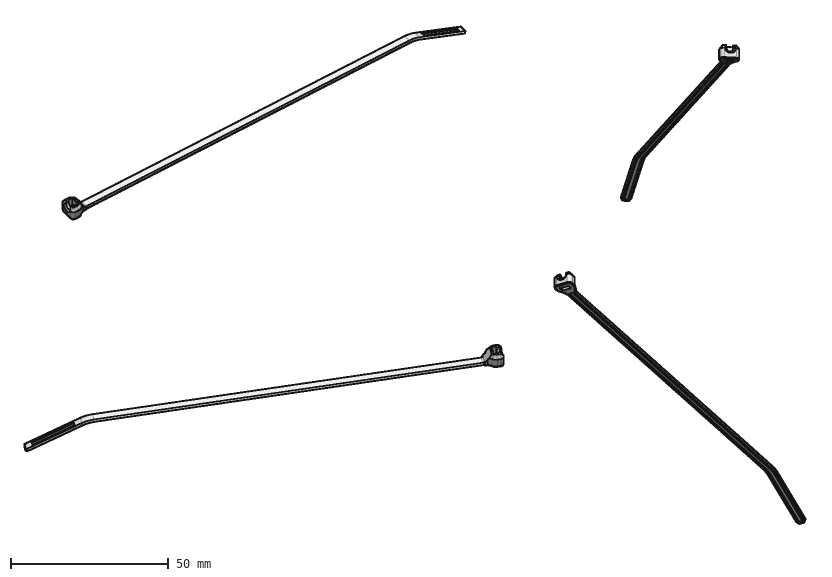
import cadquery as cq
import math

total_length = 155.0
total_height = 13.5
head_width = 6.4
head_height = 4.6

strap_width = 3.5
strap_flat_width = 2.5
strap_thickness = 1.1
parting_height = 0.5

bend_start = 132.8
bend_radius = 8.7
tip_chamfer = 1.0
tip_bevel = 0.5

groove_width = 1.4
groove_depth = 0.5
groove_length = 14.9
groove_tip_distance = 2.8
channel_width = 1.2
channel_depth = 0.2
channel_tip_distance = 0.8

head_corner_radius = 1.2
side_straight_end = 2.5
shoulder_width = 5.0
shoulder_end = 4.0
neck_end = 5.3

ramp_top = 3.9
ramp_end = 6.4
ramp_fillet_radius = 0.8
crown_bevel_width = 1.0
crown_bevel_height = 1.2
foot_bevel = 0.2

slot_width = 3.1
slot_start = 1.7
slot_length = 1.5
notch_width = 2.3
notch_bottom = 2.5
notch_flare = 0.6
flare_angle = 45

strap_start = slot_start + slot_length


def tail_straight_length(angle, bend_end_y):
    """Straight tail length that puts the tip on the total length."""
    tip_overhang = (strap_thickness - tip_bevel) * math.sin(angle)
    return (total_length - bend_end_y - tip_overhang) / math.cos(angle)


def bend_point(angle):
    """Y and Z on the underside of the bend after turning through the angle."""
    return (
        bend_start + bend_radius * math.sin(angle),
        -bend_radius * (1 - math.cos(angle)),
    )


def tail_drop(angle):
    """Depth of the tail tip below the strap underside."""
    end_y, end_z = bend_point(angle)
    return tail_straight_length(angle, end_y) * math.sin(angle) - end_z


def solve_bend_angle():
    """Find by bisection the bend angle that gives the total height."""
    low = 0.0
    high = math.pi / 4
    bisection_steps = 50
    for _ in range(bisection_steps):
        middle = (low + high) / 2
        if tail_drop(middle) < total_height - head_height:
            low = middle
        else:
            high = middle
    return low


bend_angle = solve_bend_angle()
bend_end = bend_point(bend_angle)
tail_length = tail_straight_length(bend_angle, bend_end[0])

tail_plane = cq.Plane(
    origin=(0, *bend_end),
    xDir=(1, 0, 0),
    normal=(0, math.sin(bend_angle), math.cos(bend_angle)),
)


def mirrored_outline(right_half):
    """Complete an outline that is symmetric about X = 0."""
    return right_half + [(-x, other) for x, other in reversed(right_half)]


def sweep_along_strap(outline, straight_length):
    """Sweep a section along the strap, the bend and a length of the tail."""
    tip = (
        bend_end[0] + straight_length * math.cos(bend_angle),
        bend_end[1] - straight_length * math.sin(bend_angle),
    )
    path = (
        cq.Workplane("YZ")
        .moveTo(strap_start, 0)
        .lineTo(bend_start, 0)
        .threePointArc(bend_point(bend_angle / 2), bend_end)
        .lineTo(*tip)
    )
    section = cq.Workplane("XZ", origin=(0, strap_start, 0)).polyline(outline).close()
    return section.sweep(path)


def make_band():
    """Bevelled band with the shallow channel along its underside."""
    band_outline = mirrored_outline([
        (strap_flat_width / 2, 0),
        (strap_width / 2, parting_height),
        (strap_flat_width / 2, strap_thickness),
    ])
    channel_outline = mirrored_outline([
        (channel_width / 2, 0),
        (channel_width / 2, channel_depth),
    ])
    band = sweep_along_strap(band_outline, tail_length)
    return band.cut(sweep_along_strap(channel_outline, tail_length - channel_tip_distance))


def make_grip_groove():
    groove_middle = tail_length - groove_tip_distance - groove_length / 2
    return (
        cq.Workplane(tail_plane)
        .workplane(offset=strap_thickness - groove_depth)
        .center(0, groove_middle)
        .rect(groove_width, groove_length)
        .extrude(strap_thickness)
    )


def make_tip_envelope():
    """Tail with cut-off corners, which trims the end of the band."""
    edge = strap_width / 2
    envelope_outline = mirrored_outline([
        (edge, tail_length - 2 * tip_chamfer),
        (edge, tail_length - tip_chamfer),
        (edge - tip_chamfer, tail_length),
    ])
    return (
        cq.Workplane(tail_plane)
        .polyline(envelope_outline)
        .close()
        .extrude(strap_thickness)
        .faces(cq.selectors.DirectionMinMaxSelector(tail_plane.yDir, True))
        .edges(cq.selectors.DirectionMinMaxSelector(tail_plane.zDir, True))
        .chamfer(tip_bevel)
    )


def make_strap():
    tip_block = (
        cq.Workplane(tail_plane)
        .center(0, tail_length - tip_chamfer)
        .rect(strap_width, 2 * tip_chamfer)
        .extrude(strap_thickness)
    )
    tip_waste = tip_block.cut(make_tip_envelope())
    return make_band().cut(make_grip_groove()).cut(tip_waste)


def make_head_plan(height):
    """Upright body with rounded end corners, round shoulders and a waist."""
    half = head_width / 2
    shoulder_inset = half - shoulder_width / 2
    shoulder_length = shoulder_end - side_straight_end
    radius = (shoulder_inset**2 + shoulder_length**2) / (2 * shoulder_inset)
    half_turn = math.asin(shoulder_length / radius) / 2
    arc_middle = (
        half - radius * (1 - math.cos(half_turn)),
        side_straight_end + radius * math.sin(half_turn),
    )
    half_body = (
        cq.Workplane("XY", origin=(0, 0, parting_height))
        .lineTo(half, 0)
        .lineTo(half, side_straight_end)
        .threePointArc(arc_middle, (shoulder_width / 2, shoulder_end))
        .lineTo(strap_width / 2, neck_end)
        .lineTo(strap_width / 2, ramp_end)
        .lineTo(0, ramp_end)
        .close()
        .extrude(height)
    )
    body = half_body.union(half_body.mirror("YZ")).clean()
    return body.faces("<Y").edges("|Z").fillet(head_corner_radius)


def tapered_layer(face, height, inset):
    """Continue the outline of a face along Z while it shrinks by the inset."""
    taper = math.degrees(math.atan2(inset, abs(height)))
    outline = cq.Workplane("XY").add(face.wires().vals()).toPending()
    return outline.extrude(height, taper=taper)


def make_ramp_envelope():
    """Side outline of the head, sloping down to the strap top."""
    return (
        cq.Workplane("YZ")
        .polyline([
            (0, 0),
            (0, head_height),
            (ramp_top, head_height),
            (ramp_end, strap_thickness),
            (ramp_end, 0),
        ])
        .close()
        .extrude(head_width / 2, both=True)
    )


def make_head():
    """Head with a bevel around its crown and a small one around its foot."""
    bevel_start = head_height - crown_bevel_height
    body = make_head_plan(bevel_start - parting_height)
    crown = tapered_layer(body.faces(">Z"), crown_bevel_height, crown_bevel_width)
    foot = tapered_layer(body.faces("<Z"), -parting_height, foot_bevel)
    return body.union(crown).union(foot).intersect(make_ramp_envelope())


def make_ramp_foot():
    """Concave fillet between the ramp and the strap top."""
    slope = math.atan2(head_height - strap_thickness, ramp_end - ramp_top)
    tangent = ramp_fillet_radius * math.tan(slope / 2)
    corner = (ramp_end, strap_thickness)
    on_ramp = (
        ramp_end - tangent * math.cos(slope),
        strap_thickness + tangent * math.sin(slope),
    )
    on_strap = (ramp_end + tangent, strap_thickness)
    arc_middle = (
        on_strap[0] - ramp_fillet_radius * math.sin(slope / 2),
        strap_thickness + ramp_fillet_radius * (1 - math.cos(slope / 2)),
    )
    return (
        cq.Workplane("YZ")
        .moveTo(*corner)
        .lineTo(*on_strap)
        .threePointArc(arc_middle, on_ramp)
        .close()
        .extrude(strap_flat_width / 2, both=True)
    )


def make_slot():
    """Passage through the head for the tail."""
    return (
        cq.Workplane("XY")
        .center(0, slot_start + slot_length / 2)
        .rect(slot_width, slot_length)
        .extrude(head_height)
    )


def make_notch():
    """Round-bottomed notch through the end wall, flared at its outer face."""
    radius = notch_width / 2
    axis_height = notch_bottom + radius
    rise = head_height - axis_height + 2 * notch_flare

    def round_bottomed(size):
        return (
            cq.Workplane("XZ", origin=(0, 0, axis_height))
            .moveTo(-size, rise)
            .lineTo(-size, 0)
            .threePointArc((0, -size), (size, 0))
            .lineTo(size, rise)
            .close()
        )

    passage = round_bottomed(radius).extrude(-slot_start)
    flare = round_bottomed(radius + notch_flare).extrude(-notch_flare, taper=flare_angle)
    return passage.union(flare)


result = make_head().union(make_ramp_foot()).union(make_strap()).cut(make_slot()).cut(make_notch())